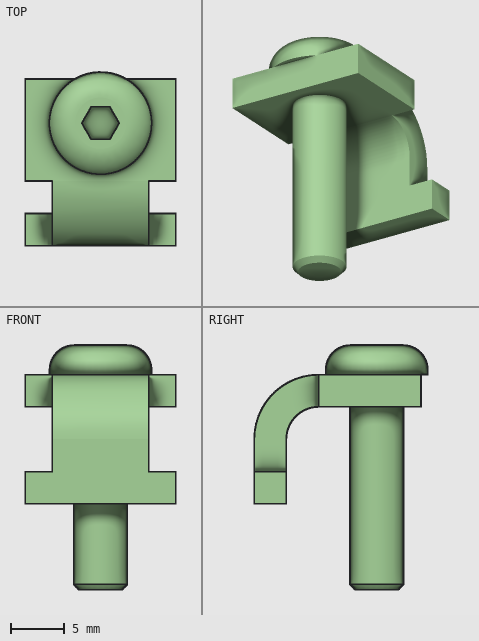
import cadquery as cq
import math

plate_width = 14.0
plate_length = 9.5
thickness = 3.0
tongue_width = 9.0
bend_inner_radius = 3.0
bend_outer_radius = bend_inner_radius + thickness
leg_length = 3.0
foot_height = 3.0

axis_to_plate_back = 4.12
head_diameter = 9.5
head_height = 2.75
head_rim_height = 0.4
head_flat_diameter = 4.75
total_height = 22.75
shank_length = total_height - head_height
shank_diameter = 5
tip_chamfer = 0.5
socket_across_flats = 3.0
socket_depth = 1.57

bend_y = axis_to_plate_back - plate_length
front_y = bend_y - bend_outer_radius
leg_top_z = -bend_outer_radius
leg_bottom_z = leg_top_z - leg_length


def block(width, y_min, length, z_min, height):
    """Box centred on X, placed by its lowest Y and Z."""
    solid = cq.Workplane("XY").box(width, length, height, centered=(True, False, False))
    return solid.translate((0, y_min, z_min))


def make_tongue():
    """Quarter bend and straight leg, extruded across the tongue width."""
    diagonal = math.sqrt(0.5)
    outer_mid = (bend_y - bend_outer_radius * diagonal, leg_top_z + bend_outer_radius * diagonal)
    inner_mid = (bend_y - bend_inner_radius * diagonal, leg_top_z + bend_inner_radius * diagonal)
    return (
        cq.Workplane("YZ")
        .moveTo(bend_y, 0)
        .threePointArc(outer_mid, (front_y, leg_top_z))
        .lineTo(front_y, leg_bottom_z)
        .lineTo(front_y + thickness, leg_bottom_z)
        .lineTo(front_y + thickness, leg_top_z)
        .threePointArc(inner_mid, (bend_y, -thickness))
        .close()
        .extrude(tongue_width / 2, both=True)
    )


def make_bracket():
    plate = block(plate_width, bend_y, plate_length, -thickness, thickness)
    foot = block(plate_width, front_y, thickness, leg_bottom_z - foot_height, foot_height)
    return plate.union(make_tongue()).union(foot)


def make_screw():
    """Domed head whose arc rises tangentially from its rim, with a chamfered shank."""
    flat_radius = head_flat_diameter / 2
    rim_radius = head_diameter / 2
    head = (
        cq.Workplane("XZ")
        .lineTo(rim_radius, 0)
        .lineTo(rim_radius, head_rim_height)
        .tangentArcPoint((flat_radius, head_height), relative=False)
        .lineTo(0, head_height)
        .close()
        .revolve(360, (0, 0, 0), (0, 1, 0))
    )
    shank = (
        cq.Workplane("XY")
        .circle(shank_diameter / 2)
        .extrude(-shank_length)
        .faces("<Z")
        .chamfer(tip_chamfer)
    )
    socket_corner_diameter = socket_across_flats / math.cos(math.pi / 6)
    socket = (
        cq.Workplane("XY", origin=(0, 0, head_height))
        .polygon(6, socket_corner_diameter)
        .extrude(-socket_depth)
    )
    return head.union(shank).cut(socket)


result = make_bracket().union(make_screw())